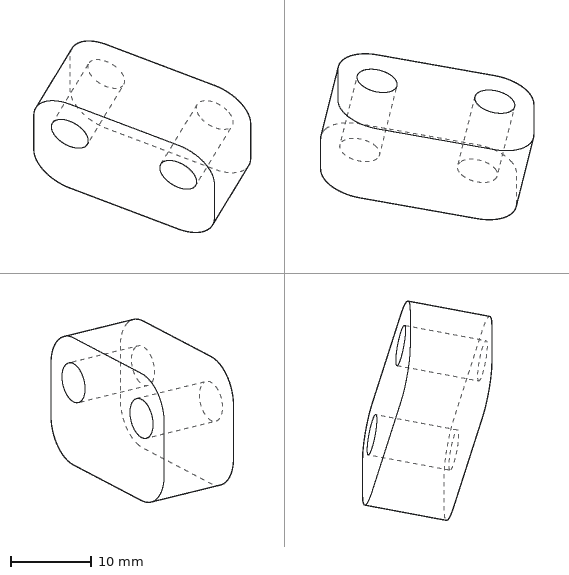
import cadquery as cq

width = 25.0
depth = 10.5
height = 17.0
corner_radius = 5.0

hole_diameter = 5.1
hole_drop = 6.0
hole_x = width / 2 - corner_radius
hole_z = height / 2 - hole_drop

block = cq.Workplane("XZ").rect(width, height).extrude(depth / 2, both=True)
block = block.edges("|Y").fillet(corner_radius)

holes = (
    cq.Workplane("XZ")
    .pushPoints([(-hole_x, hole_z), (hole_x, hole_z)])
    .circle(hole_diameter / 2)
    .extrude(depth / 2, both=True)
)

result = block.cut(holes)